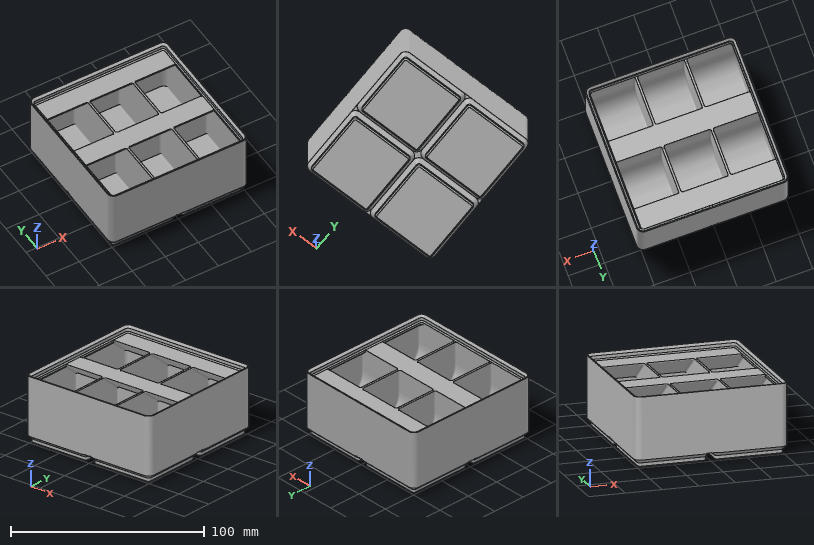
import cadquery as cq


GRID_PITCH = 42.0
GRID_COUNT = 2
GRID_RADIUS = 4.0
CLEARANCE = 0.25
OUTER = GRID_COUNT * GRID_PITCH - 2 * CLEARANCE
OUTER_RADIUS = GRID_RADIUS - CLEARANCE
RIM_Z = 35.0
CHAMFER_ANGLE = 45.0

FOOT_LOWER_CHAMFER = 0.8
FOOT_STRAIGHT = 1.8
FOOT_UPPER_CHAMFER = 2.4
FOOT_INSET = FOOT_LOWER_CHAMFER + FOOT_UPPER_CHAMFER
FOOT_HEIGHT = FOOT_LOWER_CHAMFER + FOOT_STRAIGHT + FOOT_UPPER_CHAMFER

LIP_LOWER_CHAMFER = 0.7
LIP_STRAIGHT = 1.8
LIP_UPPER_CHAMFER = 1.3
LIP_HEIGHT = LIP_LOWER_CHAMFER + LIP_STRAIGHT + LIP_UPPER_CHAMFER
TOP_Z = RIM_Z + LIP_HEIGHT

WALL = 1.0
LIP_OVERHANG = 1.6
LIP_SUPPORT_HEIGHT = 1.2
LIP_INSET = WALL + LIP_OVERHANG
OVERHANG_TOP_Z = RIM_Z - LIP_SUPPORT_HEIGHT
OVERHANG_BOTTOM_Z = OVERHANG_TOP_Z - LIP_OVERHANG

COLUMNS = 3
ROWS = 2
DIVIDER = 1.2
FLOOR_Z = 7.0
INNER = OUTER - 2 * WALL
COLUMN_PITCH = INNER / COLUMNS
ROW_PITCH = INNER / ROWS
SCOOP_RADIUS = 14.0
CAVITY_FILLET = 1.1

SHELF_DEPTH = 10.8
BACK_SHELF_DEPTH = 13.4
SHELF_EDGE = 0.8
SHELF_NOSE_FILLET = 0.4
SHELF_UNDERSIDE_RISE = 9.2
SHELF_UNDERSIDE_RUN = 12.0
SHELF_SLOPE = SHELF_UNDERSIDE_RISE / SHELF_UNDERSIDE_RUN


def rounded_prism(inset, bottom, height, taper=0.0):
    """Prism on the bin outline moved inwards by inset; a negative taper widens it upwards."""
    side = OUTER - 2 * inset
    outline = cq.Sketch().rect(side, side).vertices().fillet(OUTER_RADIUS - inset)
    return cq.Workplane("XY").workplane(offset=bottom).placeSketch(outline).extrude(height, taper=taper)


def make_foot():
    side = GRID_PITCH - 2 * FOOT_INSET
    outline = cq.Sketch().rect(side, side).vertices().fillet(GRID_RADIUS - FOOT_INSET)
    foot = cq.Workplane("XY").placeSketch(outline).extrude(FOOT_LOWER_CHAMFER, taper=-CHAMFER_ANGLE)
    foot = foot.faces(">Z").wires().toPending().extrude(FOOT_STRAIGHT)
    return foot.faces(">Z").wires().toPending().extrude(FOOT_UPPER_CHAMFER, taper=-CHAMFER_ANGLE)


def make_body():
    centres = cq.Workplane("XY").rarray(GRID_PITCH, GRID_PITCH, GRID_COUNT, GRID_COUNT)
    foot = make_foot().val()
    feet = centres.eachpoint(lambda place: foot.moved(place), combine=False)
    feet = feet.intersect(rounded_prism(0, 0, FOOT_HEIGHT))
    return rounded_prism(0, FOOT_HEIGHT, TOP_Z - FOOT_HEIGHT).union(feet)


def make_lip_opening():
    """Space inside the stacking lip."""
    lower = rounded_prism(LIP_INSET, RIM_Z, LIP_LOWER_CHAMFER, taper=-CHAMFER_ANGLE)
    straight_inset = LIP_INSET - LIP_LOWER_CHAMFER
    straight = rounded_prism(straight_inset, RIM_Z + LIP_LOWER_CHAMFER, LIP_STRAIGHT)
    upper = rounded_prism(straight_inset, TOP_Z - LIP_UPPER_CHAMFER, LIP_UPPER_CHAMFER, taper=-CHAMFER_ANGLE)
    return lower.union(straight).union(upper)


def make_interior():
    """Space inside the outer wall, narrowing to the lip."""
    main = rounded_prism(WALL, FLOOR_Z, OVERHANG_BOTTOM_Z - FLOOR_Z)
    overhang = rounded_prism(WALL, OVERHANG_BOTTOM_Z, LIP_OVERHANG, taper=CHAMFER_ANGLE)
    mouth = rounded_prism(LIP_INSET, OVERHANG_TOP_Z, LIP_SUPPORT_HEIGHT)
    return main.union(overhang).union(mouth)


def make_cavity(left, right, front, back, shelf_edge):
    """Compartment space with a scoop along the front and a label shelf along the back."""
    shelf_bottom = RIM_Z - SHELF_EDGE
    shelf_root = shelf_bottom - (back - shelf_edge) * SHELF_SLOPE
    profile = (
        cq.Workplane("YZ", origin=(left, 0, 0))
        .moveTo(front, RIM_Z)
        .lineTo(front, FLOOR_Z + SCOOP_RADIUS)
        .radiusArc((front + SCOOP_RADIUS, FLOOR_Z), -SCOOP_RADIUS)
        .lineTo(back, FLOOR_Z)
        .lineTo(back, shelf_root)
        .lineTo(shelf_edge, shelf_bottom)
        .lineTo(shelf_edge, RIM_Z)
        .close()
    )
    cavity = profile.extrude(right - left)
    shelf_corner = ((left + right) / 2, shelf_edge, shelf_bottom)
    nose = cavity.edges(cq.selectors.NearestToPointSelector(shelf_corner))
    cavity = nose.fillet(SHELF_NOSE_FILLET)
    side_edges = cavity.faces("<X or >X").edges("not(>Z)")
    return side_edges.fillet(CAVITY_FILLET)


def make_cavities():
    cavities = cq.Workplane("XY")
    for row in range(ROWS):
        front = -INNER / 2 + row * ROW_PITCH + DIVIDER / 2
        back = -INNER / 2 + (row + 1) * ROW_PITCH - DIVIDER / 2
        shelf_edge = back - SHELF_DEPTH
        if row == 0:
            front = -OUTER / 2 + LIP_INSET
        if row == ROWS - 1:
            back = INNER / 2
            shelf_edge = back - BACK_SHELF_DEPTH
        for column in range(COLUMNS):
            left = -INNER / 2 + column * COLUMN_PITCH
            right = left + COLUMN_PITCH
            if column > 0:
                left += DIVIDER / 2
            if column < COLUMNS - 1:
                right -= DIVIDER / 2
            cavities = cavities.add(make_cavity(left, right, front, back, shelf_edge))
    return cavities.combine().intersect(make_interior())


result = make_body().cut(make_lip_opening()).cut(make_cavities())